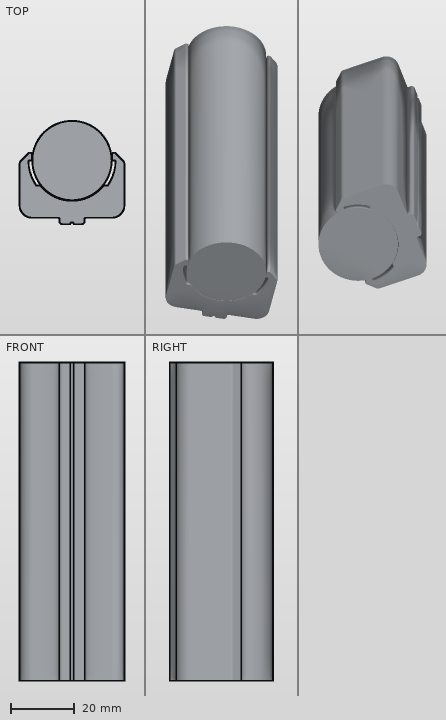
import cadquery as cq

length = 100.0

rod_radius = 12.5

seat_clearance = 0.1
seat_radius = rod_radius + seat_clearance

cradle_half_width = 16.5
cradle_bottom_y = -18.0
bottom_corner_radius = 4.0
lip_top_y = 2.5
lip_chamfer = 3.0
lip_edge_radius = 0.6
lip_peak_radius = 0.5
shoulder_radius = 1.5

relief_radius = 13.65
relief_top_y = 0.0
relief_bottom_y = -7.8
relief_corner_radius = 0.4

rail_half_width = 4.0
rail_bottom_y = -20.0
rail_corner_radius = 1.0
rail_root_radius = 0.25
groove_radius = 0.55


def make_rod():
    """Plain round rod."""
    return cq.Workplane("XY").circle(rod_radius).extrude(length)


def fillet_edges_at(body, half_x, y, radius):
    """Round the two mirrored lengthwise edges that pass through x = +-half_x at height y."""
    margin = 0.05
    for side in (-1, 1):
        x = side * half_x
        near_edge = cq.selectors.BoxSelector(
            (x - margin, y - margin, 0),
            (x + margin, y + margin, length),
        )
        body = body.edges("|Z").edges(near_edge).fillet(radius)
    return body


def make_block():
    """Cradle block with rounded bottom corners and chamfered top corners."""
    block = (
        cq.Workplane("XY")
        .rect(2 * cradle_half_width, lip_top_y - cradle_bottom_y)
        .extrude(length)
        .translate((0, (lip_top_y + cradle_bottom_y) / 2, 0))
    )
    block = block.edges("|Z and <Y").fillet(bottom_corner_radius)
    block = block.edges("|Z and >Y").chamfer(lip_chamfer)
    block = block.edges("|Z and >Y").fillet(lip_peak_radius)
    return fillet_edges_at(block, cradle_half_width, lip_top_y - lip_chamfer, shoulder_radius)


def make_rail():
    """Rail along the bottom face, with rounded lower corners."""
    return (
        cq.Workplane("XY")
        .rect(2 * rail_half_width, cradle_bottom_y - rail_bottom_y)
        .extrude(length)
        .translate((0, (cradle_bottom_y + rail_bottom_y) / 2, 0))
        .edges("|Z and <Y")
        .fillet(rail_corner_radius)
    )


def make_groove():
    """Half-round groove along the middle of the rail."""
    return cq.Workplane("XY").center(0, rail_bottom_y).circle(groove_radius).extrude(length)


def make_seat():
    """Space for the rod: a half-round seat below its centre and a straight mouth above it."""
    seat = (
        cq.Workplane("XY")
        .moveTo(-seat_radius, 0)
        .threePointArc((0, -seat_radius), (seat_radius, 0))
        .close()
        .extrude(length)
    )
    mouth = (
        cq.Workplane("XY")
        .rect(2 * rod_radius, lip_top_y)
        .extrude(length)
        .translate((0, lip_top_y / 2, 0))
    )
    return seat.union(mouth)


def make_relief():
    """Both relief slots in one piece: a wider disc limited to the relief height."""
    band = (
        cq.Workplane("XY")
        .rect(2 * cradle_half_width, relief_top_y - relief_bottom_y)
        .extrude(length)
        .translate((0, (relief_top_y + relief_bottom_y) / 2, 0))
    )
    disc = cq.Workplane("XY").circle(relief_radius).extrude(length)
    return disc.intersect(band).edges("|Z and >Y").fillet(relief_corner_radius)


def make_cradle():
    cradle = make_block().union(make_rail())
    cradle = fillet_edges_at(cradle, rail_half_width, cradle_bottom_y, rail_root_radius)
    cradle = cradle.cut(make_seat())
    cradle = fillet_edges_at(cradle, rod_radius, lip_top_y, lip_edge_radius)
    return cradle.cut(make_relief()).cut(make_groove())


rod = make_rod()
cradle = make_cradle()
result = cq.Compound.makeCompound([rod.val(), cradle.val()])